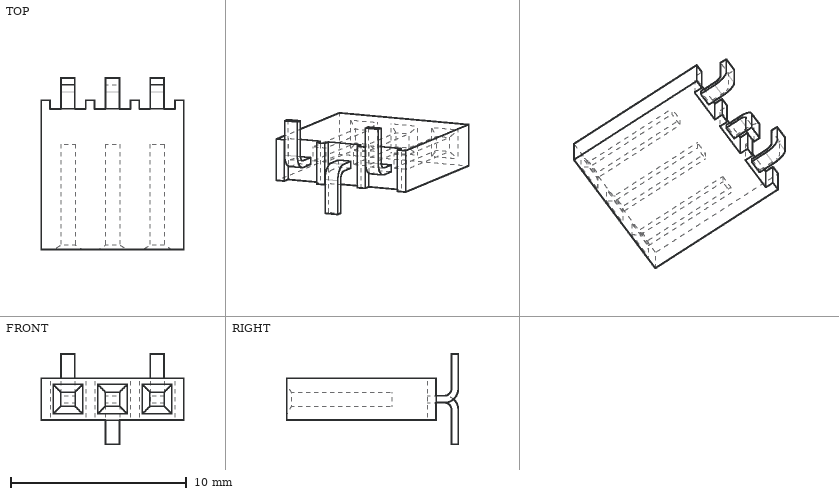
import cadquery as cq

pitch = 2.54
contact_count = 3
housing_width = 8.13
housing_length = 8.51
housing_height = 2.4

rib_width = 0.51
notch_depth = 0.5

socket_mouth = 1.68
socket_throat = 0.81
funnel_depth = 0.26
socket_depth = 6.0

tail_width = 0.8
tail_thickness = 0.4
tail_reach = 1.27
tail_span = 5.16
bend_inner_radius = 0.4

front_y = 0.0
rear_y = housing_length
notch_floor_y = rear_y - notch_depth
bend_outer_radius = bend_inner_radius + tail_thickness
contact_xs = [(i - (contact_count - 1) / 2) * pitch for i in range(contact_count)]


def make_housing():
    """Rectangular block, centred on X and Z, with its front face at front_y."""
    return cq.Workplane("XY").box(
        housing_width, housing_length, housing_height, centered=(True, False, True)
    )


def make_notches():
    """Full-height rear notches; neighbouring notches are one rib apart."""
    half_width = housing_width / 2
    rib_centres = [(a + b) / 2 for a, b in zip(contact_xs, contact_xs[1:])]
    left_edges = [-half_width + rib_width] + [x + rib_width / 2 for x in rib_centres]
    right_edges = [x - rib_width / 2 for x in rib_centres] + [half_width - rib_width]
    notches = cq.Workplane("XY")
    for left, right in zip(left_edges, right_edges):
        notch = cq.Workplane("XY").box(
            right - left, notch_depth, housing_height, centered=(False, False, True)
        )
        notches = notches.add(notch.translate((left, notch_floor_y, 0)))
    return notches.combine()


def make_socket(x):
    """Square blind hole with a pyramidal lead-in at the front face."""
    front = cq.Workplane("XZ", origin=(x, front_y, 0))
    funnel = (
        front.rect(socket_mouth, socket_mouth)
        .workplane(offset=-funnel_depth)
        .rect(socket_throat, socket_throat)
        .loft(ruled=True)
    )
    bore = front.rect(socket_throat, socket_throat).extrude(-socket_depth)
    return funnel.union(bore)


def make_tail(x, direction):
    """Flat tail leaving the notch floor and bending up (+1) or down (-1)."""
    half_thickness = tail_thickness / 2
    outer_y = rear_y + tail_reach
    inner_y = outer_y - tail_thickness
    bend_y = outer_y - bend_outer_radius
    bend_z = bend_outer_radius - half_thickness
    tip_z = tail_span / 2
    tail = (
        cq.Workplane("YZ")
        .moveTo(notch_floor_y, -half_thickness)
        .lineTo(bend_y, -half_thickness)
        .radiusArc((outer_y, bend_z), -bend_outer_radius)
        .lineTo(outer_y, tip_z)
        .lineTo(inner_y, tip_z)
        .lineTo(inner_y, bend_z)
        .radiusArc((bend_y, half_thickness), bend_inner_radius)
        .lineTo(notch_floor_y, half_thickness)
        .close()
        .extrude(tail_width / 2, both=True)
    )
    if direction < 0:
        tail = tail.mirror("XY")
    return tail.translate((x, 0, 0))


result = make_housing().cut(make_notches())
for index, contact_x in enumerate(contact_xs):
    bend_direction = 1 if index % 2 == 0 else -1
    result = result.cut(make_socket(contact_x))
    result = result.union(make_tail(contact_x, bend_direction))